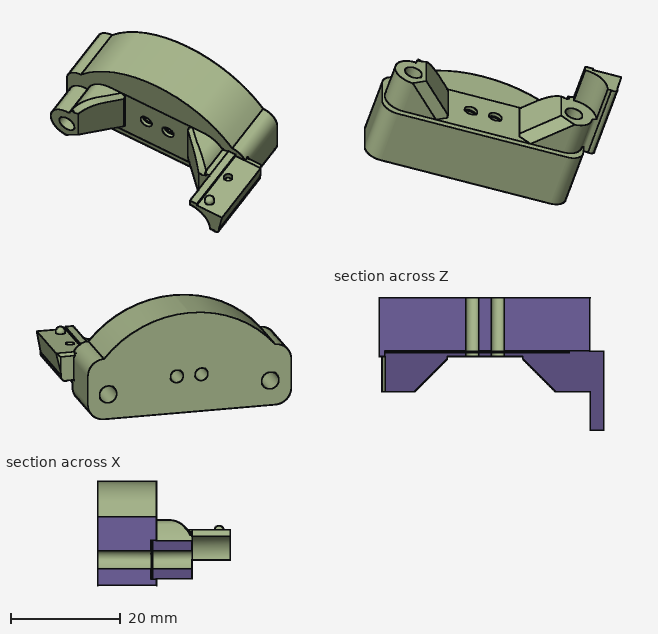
import cadquery as cq
import math


housing_center_x = -0.1
housing_half_width = 19.2
housing_depth = 10.75
shoulder_z = 11.57
crown_z = 19.05
crown_flat_half = 0.062
corner_radius = 3.03
crown_half_chord = housing_half_width - corner_radius

mount_hole_x = 15.3
mount_hole_z = 4.73
mount_hole_radius = 1.6
wire_hole_x = 2.32
wire_hole_z = 7.05
wire_hole_radius = 1.2

plate_thickness = 0.75
pocket_depth = 1.0
lug_radius = 3.5
lug_length = 6.45
lug_bottom_z = mount_hole_z - lug_radius
lug_top_z = mount_hole_z + lug_radius
plate_top_z = 12.0
hump_radius = 5.05
hump_x = 9.9
hump_z = plate_top_z - hump_radius
lug_tip_x = 6.85
lug_tip_length = 0.4
lug_front_x = lug_tip_x + lug_length - lug_tip_length
lug_top_bevel = 0.85
lug_bottom_bevel = 1.83
bevel_end_angle = 63
bevel_steps = 8
bevel_reach = 4

tab_left_x = mount_hole_x
tab_right_x = 22.2
tab_front_length = 13.4
tab_bottom_z = mount_hole_z
tab_top_z = 9.8
tab_draft = 10.3
tab_corner_radius = 0.85
tab_fillet_radius = 0.7
lip_top_z = 10.2
lip_right_x = 16.8
valley_x = 14.05
relief_radius = 4.27
tab_back_top_drop = 0.4
tab_back_side_inset = 0.6

detail_x = 18.25
tab_hole_length = 4.9
tab_hole_radius = 0.8
tab_hole_depth = 1.15
bump_length = 11.35
bump_radius = 0.87
bump_center_z = 10.1

tab_bottom_right_x = tab_right_x - (tab_top_z - tab_bottom_z) * math.tan(math.radians(tab_draft))


def front_plane(depth=0.0):
    """Workplane whose local axes are X and Z, lying depth behind the housing's front face."""
    return cq.Workplane("XZ", origin=(0, depth, 0))


def hump_height(x):
    """Height of the rounded hump over the right lug at the given x."""
    return hump_z + math.sqrt(hump_radius**2 - (x - hump_x) ** 2)


def tab_outer_edge(outline):
    """Continue an outline from the lip's left end over the tab to its lower right corner."""
    slope = math.radians(tab_draft)
    tangent_length = tab_corner_radius * math.tan((math.pi / 2 + slope) / 2)
    side_end_x = tab_bottom_right_x + tangent_length * math.sin(slope)
    side_end_z = tab_bottom_z + tangent_length * math.cos(slope)
    return (
        outline.lineTo(lip_right_x, lip_top_z)
        .lineTo(lip_right_x, tab_top_z)
        .lineTo(tab_right_x, tab_top_z)
        .lineTo(side_end_x, side_end_z)
        .radiusArc((tab_bottom_right_x - tangent_length, tab_bottom_z), tab_corner_radius)
    )


def bracket_outline(depth):
    """Outline of the plate with both lugs and the tab."""
    hump_foot_x = hump_x + math.sqrt(hump_radius**2 - (lug_top_z - hump_z) ** 2)
    hump_left_mid_x = (hump_x + hump_foot_x) / 2
    hump_right_mid_x = (hump_x + valley_x) / 2
    valley_z = hump_height(valley_x)
    valley_run = tab_left_x - valley_x
    valley_rise = lip_top_z - valley_z
    valley_radius = (valley_run**2 + valley_rise**2) / (2 * valley_rise)

    fillet_z = tab_bottom_z - tab_fillet_radius
    fillet_reach = lug_radius + tab_fillet_radius
    fillet_angle = math.asin((fillet_z - mount_hole_z) / fillet_reach)
    fillet_x = mount_hole_x + fillet_reach * math.cos(fillet_angle)
    fillet_end_x = mount_hole_x + lug_radius * math.cos(fillet_angle)
    fillet_end_z = mount_hole_z + lug_radius * math.sin(fillet_angle)
    lug_mid_angle = (fillet_angle - math.pi / 2) / 2

    outline = (
        front_plane(depth)
        .moveTo(-mount_hole_x, lug_bottom_z)
        .threePointArc((-mount_hole_x - lug_radius, mount_hole_z), (-mount_hole_x, lug_top_z))
        .lineTo(-hump_foot_x, lug_top_z)
        .threePointArc((-hump_left_mid_x, hump_height(hump_left_mid_x)), (-hump_x, plate_top_z))
        .lineTo(hump_x, plate_top_z)
        .threePointArc((hump_right_mid_x, hump_height(hump_right_mid_x)), (valley_x, valley_z))
        .radiusArc((tab_left_x, lip_top_z), -valley_radius)
    )
    return (
        tab_outer_edge(outline)
        .lineTo(fillet_x, tab_bottom_z)
        .radiusArc((fillet_end_x, fillet_end_z), -tab_fillet_radius)
        .threePointArc(
            (
                mount_hole_x + lug_radius * math.cos(lug_mid_angle),
                mount_hole_z + lug_radius * math.sin(lug_mid_angle),
            ),
            (mount_hole_x, lug_bottom_z),
        )
        .close()
    )


def through_holes():
    """Cutters for the two mounting holes and the two wire holes."""
    length = housing_depth + lug_length
    mounts = (
        front_plane(housing_depth)
        .pushPoints([(-mount_hole_x, mount_hole_z), (mount_hole_x, mount_hole_z)])
        .circle(mount_hole_radius)
        .extrude(length)
    )
    wires = (
        front_plane(housing_depth)
        .pushPoints([(-wire_hole_x, wire_hole_z), (wire_hole_x, wire_hole_z)])
        .circle(wire_hole_radius)
        .extrude(length)
    )
    return mounts.union(wires)


def make_housing():
    block = (
        front_plane(housing_depth)
        .center(housing_center_x, shoulder_z / 2)
        .rect(2 * housing_half_width, shoulder_z)
        .extrude(housing_depth)
        .edges("|Y")
        .fillet(corner_radius)
    )
    rise = crown_z - shoulder_z
    run = crown_half_chord - crown_flat_half
    crown_radius = (run**2 + rise**2) / (2 * rise)
    crown = (
        front_plane(housing_depth)
        .center(housing_center_x, 0)
        .moveTo(-crown_half_chord, shoulder_z)
        .radiusArc((-crown_flat_half, crown_z), crown_radius)
        .lineTo(crown_flat_half, crown_z)
        .radiusArc((crown_half_chord, shoulder_z), crown_radius)
        .lineTo(crown_half_chord, shoulder_z - corner_radius)
        .lineTo(-crown_half_chord, shoulder_z - corner_radius)
        .close()
        .extrude(housing_depth)
    )
    pocket = bracket_outline(pocket_depth).extrude(pocket_depth)
    return block.union(crown).cut(pocket).cut(through_holes())


def bevel_cutter(sections, ruled):
    """Solid through a row of triangles, each given by its three corners."""
    wires = [cq.Wire.makePolygon([cq.Vector(*p) for p in corners], close=True) for corners in sections]
    return cq.Workplane(cq.Solid.makeLoft(wires, ruled))


def top_bevel_section(side, angle, run):
    """Triangle cutting the edge between hump and taper, its cut side touching both faces.

    A ball of radius lug_top_bevel rolls inside the edge, and the cut joins the points where it
    touches. The angle is the ball's turn around the hump, the run its travel along the flat top.
    """
    orbit = hump_radius - lug_top_bevel
    ball_x = hump_x + orbit * math.sin(angle) - run
    ball_y = lug_front_x - lug_length + lug_top_bevel * math.sqrt(2) - ball_x
    ball_z = hump_z + orbit * math.cos(angle)
    to_hump = (lug_top_bevel * math.sin(angle), 0, lug_top_bevel * math.cos(angle))
    to_taper = (-lug_top_bevel * math.sqrt(0.5), -lug_top_bevel * math.sqrt(0.5), 0)
    to_outside = [bevel_reach * (hump + taper) for hump, taper in zip(to_hump, to_taper)]
    return [
        (side * (ball_x + dx), ball_y + dy, ball_z + dz) for dx, dy, dz in (to_hump, to_taper, to_outside)
    ]


def bottom_bevel_section(side, y):
    """Triangle cutting the lower edge of the taper at depth y."""
    taper_x = lug_front_x - lug_length - y
    width = lug_bottom_bevel * math.sqrt(2)
    return [
        (side * taper_x, y, lug_bottom_z),
        (side * (taper_x + width), y, lug_bottom_z),
        (side * taper_x, y, lug_bottom_z + lug_bottom_bevel),
    ]


def make_lugs():
    """Two lugs whose facing sides taper at 45 degrees and are bevelled along top and bottom."""
    gap = (
        cq.Workplane("XY")
        .moveTo(-lug_tip_x, 0)
        .lineTo(-lug_tip_x, -lug_tip_length)
        .lineTo(-lug_front_x, -lug_length)
        .lineTo(lug_front_x, -lug_length)
        .lineTo(lug_tip_x, -lug_tip_length)
        .lineTo(lug_tip_x, 0)
        .close()
        .extrude(crown_z)
    )
    lugs = bracket_outline(0).extrude(lug_length).cut(gap)
    bevel_angles = [math.radians(bevel_end_angle) * i / bevel_steps for i in range(bevel_steps + 1)]
    for side in (-1, 1):
        around_hump = [top_bevel_section(side, angle, 0) for angle in bevel_angles]
        along_top = [top_bevel_section(side, 0, run) for run in (0, lug_length)]
        along_bottom = [bottom_bevel_section(side, y) for y in (-lug_length, 0)]
        lugs = lugs.cut(bevel_cutter(around_hump, False))
        lugs = lugs.cut(bevel_cutter(along_top, True))
        lugs = lugs.cut(bevel_cutter(along_bottom, True))
    return lugs


def make_tab_front():
    """Part of the tab that reaches past the lug, with a round relief around the mounting hole."""
    relief_mid = relief_radius * math.sqrt(0.5)
    outline = front_plane(-lug_length).moveTo(tab_left_x, lip_top_z)
    return (
        tab_outer_edge(outline)
        .lineTo(mount_hole_x + relief_radius, tab_bottom_z)
        .threePointArc(
            (mount_hole_x + relief_mid, mount_hole_z + relief_mid),
            (tab_left_x, mount_hole_z + relief_radius),
        )
        .close()
        .extrude(tab_front_length - lug_length)
    )


def make_tab_back():
    """Part of the tab that reaches behind the front face to the pocket floor."""
    outline = front_plane(pocket_depth).moveTo(tab_left_x, lip_top_z)
    return tab_outer_edge(outline).lineTo(tab_left_x, tab_bottom_z).close().extrude(pocket_depth)


def tab_back_bevels():
    """Cutters that slope the tab's top and outer side inward toward the pocket floor."""
    top_bevel = (
        cq.Workplane("YZ", origin=(tab_left_x, 0, 0))
        .moveTo(0, tab_top_z)
        .lineTo(pocket_depth, tab_top_z - tab_back_top_drop)
        .lineTo(pocket_depth, lip_top_z)
        .lineTo(0, lip_top_z)
        .close()
        .extrude(tab_right_x - tab_left_x)
    )
    side_bevel = (
        cq.Workplane("XY", origin=(0, 0, tab_bottom_z))
        .moveTo(tab_right_x, 0)
        .lineTo(tab_right_x, pocket_depth)
        .lineTo(tab_right_x - tab_back_side_inset, pocket_depth)
        .close()
        .extrude(lip_top_z - tab_bottom_z)
    )
    return top_bevel.union(side_bevel)


def make_bracket():
    plate = bracket_outline(plate_thickness).extrude(plate_thickness)
    plate = plate.union(make_tab_back()).cut(tab_back_bevels())
    bump_base = tab_top_z - bump_radius
    bump = (
        cq.Workplane("XY", origin=(detail_x, -bump_length, bump_base))
        .circle(bump_radius)
        .extrude(bump_center_z - bump_base)
        .union(cq.Workplane("XY", origin=(detail_x, -bump_length, bump_center_z)).sphere(bump_radius))
    )
    blind_hole = (
        cq.Workplane("XY", origin=(detail_x, -tab_hole_length, tab_top_z))
        .circle(tab_hole_radius)
        .extrude(-tab_hole_depth)
    )
    body = plate.union(make_lugs()).union(make_tab_front())
    return body.union(bump).cut(blind_hole).cut(through_holes())


housing = make_housing()
bracket = make_bracket()
result = cq.Compound.makeCompound([housing.val(), bracket.val()])